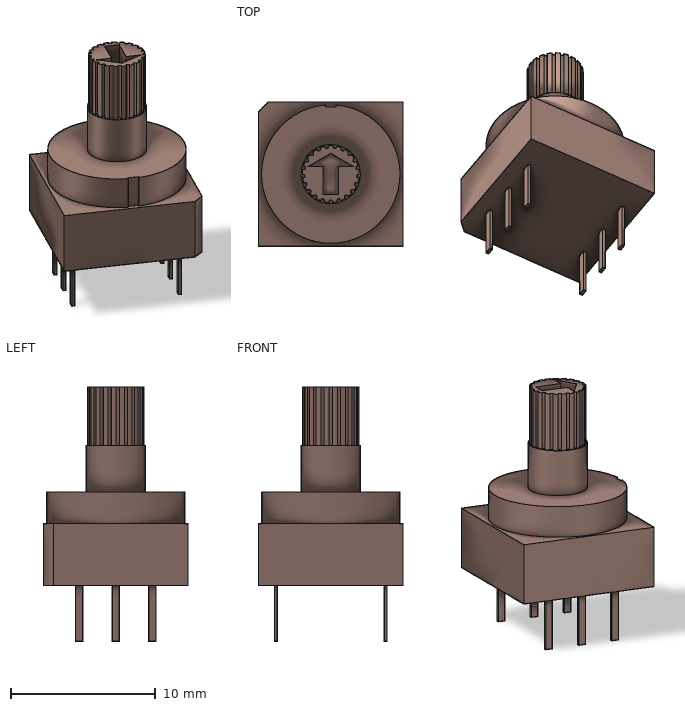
import cadquery as cq

BODY_SIDE = 10.0
BODY_HEIGHT = 4.28
CORNER_CHAMFER = 0.69

DISC_DIAMETER = 9.57
DISC_HEIGHT = 2.2
NOTCH_WIDTH = 0.74
NOTCH_DEPTH = 0.14

NECK_DIAMETER = 4.1
NECK_HEIGHT = 3.22
GRIP_DIAMETER = 3.92
TOTAL_HEIGHT = 17.6
GROOVE_COUNT = 21
GROOVE_WIDTH = 0.23
GROOVE_DEPTH = 0.18

ARROW_TIP = 1.43
ARROW_HEAD_BASE = 0.51
ARROW_HEAD_WIDTH = 3.17
ARROW_STEM_WIDTH = 1.04
ARROW_DEPTH = 1.5

PIN_LENGTH = 3.85
PIN_THICKNESS = 0.21
PIN_WIDTH = 0.51
PIN_PITCH = 2.53
PIN_ROW_SPACING = 3 * PIN_PITCH
PINS_PER_ROW = 3

DISC_BOTTOM = BODY_HEIGHT
NECK_BOTTOM = DISC_BOTTOM + DISC_HEIGHT
GRIP_BOTTOM = NECK_BOTTOM + NECK_HEIGHT
GRIP_TOP = TOTAL_HEIGHT - PIN_LENGTH
GRIP_HEIGHT = GRIP_TOP - GRIP_BOTTOM


def at_level(z):
    return cq.Workplane("XY").workplane(offset=z)


def make_body():
    body = at_level(0).rect(BODY_SIDE, BODY_SIDE).extrude(BODY_HEIGHT)
    return body.edges("|Z").edges("<X").edges(">Y").chamfer(CORNER_CHAMFER)


def make_disc():
    disc = at_level(DISC_BOTTOM).circle(DISC_DIAMETER / 2).extrude(DISC_HEIGHT)
    notch = (
        at_level(DISC_BOTTOM)
        .center(0, DISC_DIAMETER / 2)
        .rect(NOTCH_WIDTH, 2 * NOTCH_DEPTH)
        .extrude(DISC_HEIGHT)
    )
    return disc.cut(notch)


def make_grip():
    """Knurled grip: round-bottomed grooves around the rim, one of them facing -Y."""
    grip = at_level(GRIP_BOTTOM).circle(GRIP_DIAMETER / 2).extrude(GRIP_HEIGHT)
    grooves = (
        at_level(GRIP_BOTTOM)
        .polarArray(GRIP_DIAMETER / 2, -90, 360, GROOVE_COUNT)
        .slot2D(2 * GROOVE_DEPTH, GROOVE_WIDTH)
        .extrude(GRIP_HEIGHT)
    )
    return grip.cut(grooves)


def make_arrow():
    """Cutter for the driver slot, pointing to +Y."""
    half_outline = [
        (0, -ARROW_TIP),
        (ARROW_STEM_WIDTH / 2, -ARROW_TIP),
        (ARROW_STEM_WIDTH / 2, ARROW_HEAD_BASE),
        (ARROW_HEAD_WIDTH / 2, ARROW_HEAD_BASE),
        (0, ARROW_TIP),
    ]
    return at_level(GRIP_TOP).polyline(half_outline).mirrorY().extrude(-ARROW_DEPTH)


def make_pins():
    return (
        at_level(0)
        .rarray(PIN_ROW_SPACING, PIN_PITCH, 2, PINS_PER_ROW)
        .rect(PIN_THICKNESS, PIN_WIDTH)
        .extrude(-PIN_LENGTH)
    )


neck = at_level(NECK_BOTTOM).circle(NECK_DIAMETER / 2).extrude(NECK_HEIGHT)

result = (
    make_body()
    .union(make_disc())
    .union(neck)
    .union(make_grip())
    .cut(make_arrow())
    .union(make_pins())
)